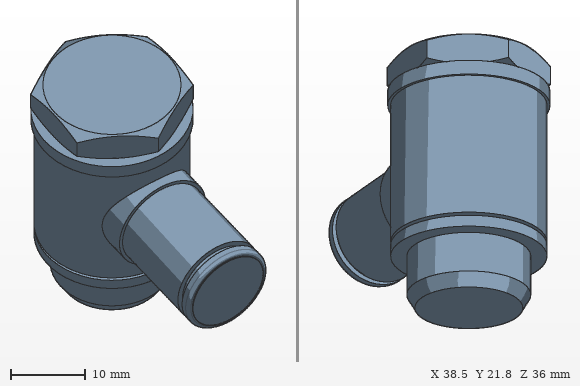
import cadquery as cq
import math

TOTAL_HEIGHT = 36.0
TIP_CHAMFER_HEIGHT = 1.9
LOWER_WASHER_BOTTOM = 7.5
LOWER_WASHER_TOP = 9.08
HOUSING_BOTTOM = 9.55
HOUSING_TOP = 29.45
HEAD_BOTTOM = 31.45
PORT_AXIS_HEIGHT = 19.55

STEM_DIAMETER = 16.65
TIP_CHAMFER_WIDTH = 1.08
TOTAL_LENGTH = 38.47
HEAD_ACROSS_FLATS = 19.0
HEAD_ACROSS_CORNERS = HEAD_ACROSS_FLATS / math.cos(math.radians(30))
HEAD_FACE_DIAMETER = 18.55
HEAD_CHAMFER_ANGLE = 30.0

UPPER_WASHER_DIAMETER = 21.8
BODY_DIAMETER = 21.0

PORT_COLLAR_DIAMETER = 14.0
PORT_TUBE_DIAMETER = 13.0
PORT_COLLAR_END = 11.93
PORT_TUBE_END = 25.0

RING_NECK_DIAMETER = 11.5
RING_FLANGE_START = 26.0
RING_END = TOTAL_LENGTH - HEAD_ACROSS_CORNERS / 2
RING_LIP_LENGTH = 0.15
RING_FLANGE_END = RING_END - RING_LIP_LENGTH
RING_EDGE_RADIUS = 0.5


def upright_cylinder(diameter, bottom, top):
    return cq.Workplane("XY").workplane(offset=bottom).circle(diameter / 2).extrude(top - bottom)


def port_cylinder(diameter, start, end):
    """Cylinder on the port axis, between two X positions."""
    plane = cq.Plane(origin=(start, 0, PORT_AXIS_HEIGHT), xDir=(0, 1, 0), normal=(1, 0, 0))
    return cq.Workplane(plane).circle(diameter / 2).extrude(end - start)


def make_washer(diameter, bottom, top):
    """Flat ring that fits closely around the bolt stem."""
    return upright_cylinder(diameter, bottom, top).cut(upright_cylinder(STEM_DIAMETER, bottom, top))


def make_hex_head():
    """Hexagon with corners on X, its corners turned down conically at both ends."""
    hexagon = (
        cq.Workplane("XY")
        .workplane(offset=HEAD_BOTTOM)
        .polygon(6, HEAD_ACROSS_CORNERS)
        .extrude(TOTAL_HEIGHT - HEAD_BOTTOM)
    )
    face_radius = HEAD_FACE_DIAMETER / 2
    corner_radius = HEAD_ACROSS_CORNERS / 2
    chamfer_drop = (corner_radius - face_radius) * math.tan(math.radians(HEAD_CHAMFER_ANGLE))
    turned_envelope = (
        cq.Workplane("XZ")
        .moveTo(0, HEAD_BOTTOM)
        .lineTo(face_radius, HEAD_BOTTOM)
        .lineTo(corner_radius, HEAD_BOTTOM + chamfer_drop)
        .lineTo(corner_radius, TOTAL_HEIGHT - chamfer_drop)
        .lineTo(face_radius, TOTAL_HEIGHT)
        .lineTo(0, TOTAL_HEIGHT)
        .close()
        .revolve(360, (0, 0, 0), (0, 1, 0))
    )
    return hexagon.intersect(turned_envelope)


def make_bolt():
    """Stem with a tapered tip, carrying the hexagon head."""
    stem = (
        upright_cylinder(STEM_DIAMETER, 0, HEAD_BOTTOM)
        .faces("<Z")
        .chamfer(TIP_CHAMFER_HEIGHT, TIP_CHAMFER_WIDTH)
    )
    return stem.union(make_hex_head())


def make_housing():
    """Barrel around the bolt stem with a stepped port to the side."""
    barrel = upright_cylinder(BODY_DIAMETER, HOUSING_BOTTOM, HOUSING_TOP)
    collar = port_cylinder(PORT_COLLAR_DIAMETER, 0, PORT_COLLAR_END)
    tube = port_cylinder(PORT_TUBE_DIAMETER, 0, PORT_TUBE_END)
    stem_bore = upright_cylinder(STEM_DIAMETER, HOUSING_BOTTOM, HOUSING_TOP)
    return barrel.union(collar).union(tube).cut(stem_bore)


def make_release_ring():
    """Narrow sleeve against the port tube, with a round-edged flange just short of its outer end."""
    sleeve = port_cylinder(RING_NECK_DIAMETER, PORT_TUBE_END, RING_END)
    flange = port_cylinder(PORT_TUBE_DIAMETER, RING_FLANGE_START, RING_FLANGE_END)
    return sleeve.union(flange.faces(">X").edges().fillet(RING_EDGE_RADIUS))


bolt = make_bolt()
upper_washer = make_washer(UPPER_WASHER_DIAMETER, HOUSING_TOP, HEAD_BOTTOM)
lower_washer = make_washer(BODY_DIAMETER, LOWER_WASHER_BOTTOM, LOWER_WASHER_TOP)
housing = make_housing()
release_ring = make_release_ring()

result = cq.Compound.makeCompound(
    [bolt.val(), upper_washer.val(), lower_washer.val(), housing.val(), release_ring.val()]
)